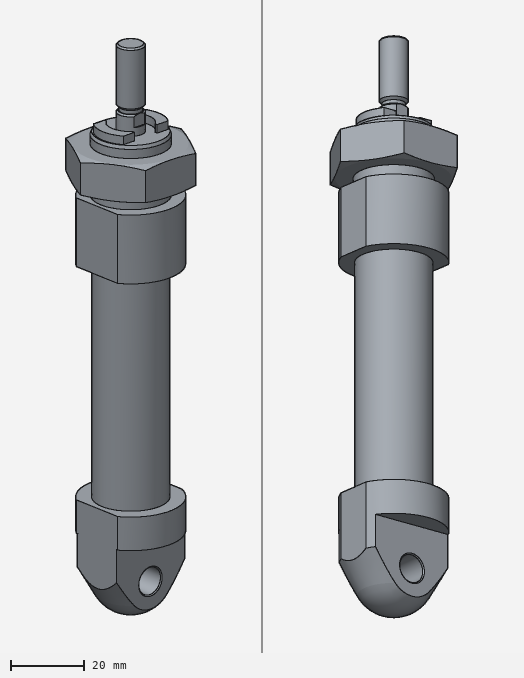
import cadquery as cq
import math

TOTAL_HEIGHT = 166.0
REAR_COLLAR_BOTTOM = 23.9
REAR_COLLAR_TOP = 33.7
FRONT_COLLAR_BOTTOM = 101.8
FRONT_COLLAR_TOP = 121.8
NUT_BOTTOM = 126.0
NUT_HEIGHT = 10.8
NECK_TOP = 140.5
TAB_TOP = 143.0
GROOVE_BOTTOM = 146.5
GROOVE_TOP = 148.4

TUBE_DIAMETER = 21.2
COLLAR_DIAMETER = 29.9
FRONT_FLAT_OFFSET = 12.5
BACK_FLAT_OFFSET = 14.0
NECK_DIAMETER = 22.0
NECK_TOP_DIAMETER = 21.2
NECK_CHAMFER_HEIGHT = 1.0
TAB_OUTER_DIAMETER = 20.5
TAB_INNER_DIAMETER = 13.5
TAB_WIDTH = 12.1
TAB_GAP = 8.3

LUG_THICKNESS = 15.8
LUG_NOSE_RADIUS = 11.3
LUG_CONE_ANGLE = 60.0
PIN_HOLE_DIAMETER = 8.0
PIN_HOLE_MOUTH_DIAMETER = 8.6

NUT_ACROSS_FLATS = 32.0
NUT_FACE_DIAMETER = 31.5
NUT_CHAMFER_ANGLE = 15.0

ROD_DIAMETER = 8.0
ROD_END_CHAMFER = 0.5
GROOVE_DIAMETER = 6.5
SHOULDER_CHAMFER = 0.5
ROD_ACROSS_FLATS = 7.0
ROD_BOTTOM = FRONT_COLLAR_BOTTOM


def cylinder(diameter, bottom, top):
    """Cylinder on the Z axis between two heights."""
    return cq.Workplane("XY").workplane(offset=bottom).circle(diameter / 2).extrude(top - bottom)


def slab(x_size, bottom, top):
    """Block of limited X size that spans between the two collar flats."""
    depth = FRONT_FLAT_OFFSET + BACK_FLAT_OFFSET
    middle = (BACK_FLAT_OFFSET - FRONT_FLAT_OFFSET) / 2
    return (
        cq.Workplane("XY").workplane(offset=bottom)
        .center(0, middle).rect(x_size, depth).extrude(top - bottom)
    )


def make_collar(bottom, top):
    """Round collar with a flat on its -Y side and a shallower one on its +Y side."""
    return cylinder(COLLAR_DIAMETER, bottom, top).intersect(slab(COLLAR_DIAMETER, bottom, top))


def make_lug():
    """Flat-sided lug with a conical, round-nosed end and a cross hole for a pin."""
    angle = math.radians(LUG_CONE_ANGLE)
    collar_radius = COLLAR_DIAMETER / 2
    nose_radius = LUG_NOSE_RADIUS
    tangent = (nose_radius * math.sin(angle), nose_radius * (1 - math.cos(angle)))
    nose_middle = (nose_radius * math.sin(angle / 2), nose_radius * (1 - math.cos(angle / 2)))
    cone_top = tangent[1] + (collar_radius - tangent[0]) * math.tan(angle)
    lug = (
        cq.Workplane("XZ")
        .moveTo(0, 0)
        .threePointArc(nose_middle, tangent)
        .lineTo(collar_radius, cone_top)
        .lineTo(collar_radius, REAR_COLLAR_BOTTOM)
        .lineTo(0, REAR_COLLAR_BOTTOM)
        .close()
        .revolve(360, (0, 0, 0), (0, 1, 0))
        .intersect(slab(LUG_THICKNESS, 0, REAR_COLLAR_BOTTOM))
    )
    return lug.cut(make_pin_hole())


def make_pin_hole():
    """Cutter along X with a chamfered mouth at each lug face."""
    hole_radius = PIN_HOLE_DIAMETER / 2
    mouth_radius = PIN_HOLE_MOUTH_DIAMETER / 2
    half = LUG_THICKNESS / 2
    chamfer_start = half - (mouth_radius - hole_radius)
    profile = [
        (-half, 0),
        (-half, mouth_radius),
        (-chamfer_start, hole_radius),
        (chamfer_start, hole_radius),
        (half, mouth_radius),
        (half, 0),
    ]
    hole = cq.Workplane("XZ").polyline(profile).close().revolve(360, (0, 0, 0), (1, 0, 0))
    return hole.translate((0, 0, LUG_NOSE_RADIUS))


def make_neck():
    """Mounting neck with a chamfered upper rim."""
    chamfer = (NECK_DIAMETER - NECK_TOP_DIAMETER) / 2
    neck = cylinder(NECK_DIAMETER, FRONT_COLLAR_TOP, NECK_TOP)
    return neck.faces(">Z").chamfer(NECK_CHAMFER_HEIGHT, chamfer)


def make_tabs():
    """Two raised arc tabs on the neck face, one on each side in Y."""
    ring = cylinder(TAB_OUTER_DIAMETER, NECK_TOP, TAB_TOP).cut(
        cylinder(TAB_INNER_DIAMETER, NECK_TOP, TAB_TOP)
    )
    height = TAB_TOP - NECK_TOP
    plane = cq.Workplane("XY").workplane(offset=NECK_TOP)
    strip = plane.rect(TAB_WIDTH, TAB_OUTER_DIAMETER).extrude(height)
    gap = plane.rect(TAB_WIDTH, TAB_GAP).extrude(height)
    return ring.intersect(strip).cut(gap)


def make_body():
    """Cylinder body: lug, rear collar, tube, front collar, neck and tabs, bored for the rod."""
    body = make_lug()
    body = body.union(make_collar(REAR_COLLAR_BOTTOM, REAR_COLLAR_TOP))
    body = body.union(cylinder(TUBE_DIAMETER, REAR_COLLAR_TOP, FRONT_COLLAR_BOTTOM))
    body = body.union(make_collar(FRONT_COLLAR_BOTTOM, FRONT_COLLAR_TOP))
    body = body.union(make_neck())
    body = body.union(make_tabs())
    return body.cut(cylinder(ROD_DIAMETER, ROD_BOTTOM, NECK_TOP))


def make_nut():
    """Hexagon nut on the neck, with both faces chamfered to a circle."""
    across_corners = NUT_ACROSS_FLATS / math.cos(math.radians(30))
    face_radius = NUT_FACE_DIAMETER / 2
    corner_radius = across_corners / 2
    drop = (corner_radius - face_radius) * math.tan(math.radians(NUT_CHAMFER_ANGLE))
    nut_top = NUT_BOTTOM + NUT_HEIGHT
    hexagon = (
        cq.Workplane("XY").workplane(offset=NUT_BOTTOM)
        .polygon(6, across_corners).extrude(NUT_HEIGHT)
        .rotate((0, 0, 0), (0, 0, 1), 30)
    )
    envelope = (
        cq.Workplane("XZ")
        .moveTo(0, NUT_BOTTOM)
        .lineTo(face_radius, NUT_BOTTOM)
        .lineTo(corner_radius, NUT_BOTTOM + drop)
        .lineTo(corner_radius, nut_top - drop)
        .lineTo(face_radius, nut_top)
        .lineTo(0, nut_top)
        .close()
        .revolve(360, (0, 0, 0), (0, 1, 0))
    )
    return hexagon.intersect(envelope).cut(cylinder(NECK_DIAMETER, NUT_BOTTOM, nut_top))


def make_groove():
    """Ring cutter with a 45 degree upper wall and a chamfered lower shoulder."""
    rod_radius = ROD_DIAMETER / 2
    floor_radius = GROOVE_DIAMETER / 2
    profile = [
        (floor_radius, GROOVE_BOTTOM),
        (rod_radius - SHOULDER_CHAMFER, GROOVE_BOTTOM),
        (rod_radius, GROOVE_BOTTOM - SHOULDER_CHAMFER),
        (rod_radius, GROOVE_TOP),
        (floor_radius, GROOVE_TOP - (rod_radius - floor_radius)),
    ]
    return cq.Workplane("XZ").polyline(profile).close().revolve(360, (0, 0, 0), (0, 1, 0))


def make_rod():
    """Piston rod with a chamfered tip, an undercut groove and two wrench flats."""
    rod = cylinder(ROD_DIAMETER, ROD_BOTTOM, TOTAL_HEIGHT).faces(">Z").chamfer(ROD_END_CHAMFER)
    flats = cylinder(ROD_DIAMETER, TAB_TOP, GROOVE_BOTTOM).cut(
        cq.Workplane("XY").workplane(offset=TAB_TOP)
        .rect(ROD_ACROSS_FLATS, ROD_DIAMETER).extrude(GROOVE_BOTTOM - TAB_TOP)
    )
    return rod.cut(make_groove()).cut(flats)


body = make_body()
nut = make_nut()
rod = make_rod()

result = cq.Compound.makeCompound([body.val(), nut.val(), rod.val()])